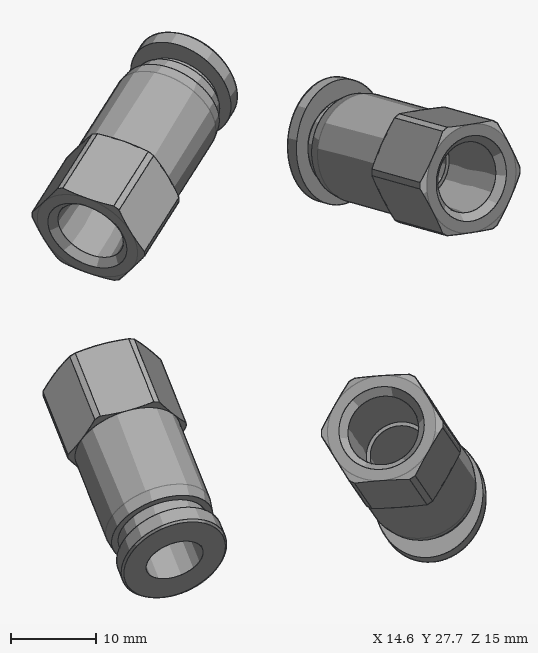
import cadquery as cq
import math

LENGTH = 27.7

ACROSS_FLATS = 13.02
CORNER_DIAMETER = 14.6
HEX_LENGTH = 10.0
HEX_CHAMFER = 0.25

SLEEVE_RADIUS = ACROSS_FLATS / 2
TAPER_TIP_RADIUS = 6.25
COLLAR_RADIUS = 5.45
NECK_RADIUS = 4.85
TAPER_START = 21.52
TAPER_END = 23.02
COLLAR_END = 24.82

BUTTON_WIDTH = ACROSS_FLATS
BUTTON_HEIGHT = 15.0
BUTTON_THICKNESS = 2.02
BUTTON_CHAMFER = 0.25
BUTTON_START = LENGTH - BUTTON_THICKNESS

MOUTH_RADIUS = 5.12
SOCKET_RADIUS = 4.25
SOCKET_END_RADIUS = 4.0
MOUTH_DEPTH = 0.9
SOCKET_DEPTH = 9.75
BORE_RADIUS = 3.52


def revolve_about_y(profile):
    """Solid of revolution from (radius, y) points, closed along the Y axis."""
    return cq.Workplane("XY").polyline(profile).close().revolve(360, (0, 0, 0), (0, 1, 0))


def plane_at(y):
    """XZ plane at the given Y, with its normal toward +Y."""
    return cq.Workplane(cq.Plane(origin=(0, y, 0), xDir=(1, 0, 0), normal=(0, 1, 0)))


def make_hexagon():
    """Hexagon with two of its rounded corners on the X axis and both ends chamfered down to the flats."""
    across_corners = ACROSS_FLATS / math.cos(math.pi / 6)
    prism = plane_at(0).polygon(6, across_corners).extrude(HEX_LENGTH)
    flat_radius = ACROSS_FLATS / 2
    corner_radius = CORNER_DIAMETER / 2
    envelope = revolve_about_y([
        (0, 0),
        (flat_radius, 0),
        (corner_radius, HEX_CHAMFER),
        (corner_radius, HEX_LENGTH - HEX_CHAMFER),
        (flat_radius, HEX_LENGTH),
        (0, HEX_LENGTH),
    ])
    return prism.intersect(envelope)


def make_sleeve():
    """Round sleeve with a tapered tip, followed by the collar and the neck."""
    return revolve_about_y([
        (0, HEX_LENGTH),
        (SLEEVE_RADIUS, HEX_LENGTH),
        (SLEEVE_RADIUS, TAPER_START),
        (TAPER_TIP_RADIUS, TAPER_END),
        (COLLAR_RADIUS, TAPER_END),
        (COLLAR_RADIUS, COLLAR_END),
        (NECK_RADIUS, COLLAR_END),
        (NECK_RADIUS, BUTTON_START),
        (0, BUTTON_START),
    ])


def make_button():
    """Elliptical disc, taller along Z, with its outer rim chamfered."""
    disc = plane_at(BUTTON_START).ellipse(BUTTON_WIDTH / 2, BUTTON_HEIGHT / 2).extrude(BUTTON_THICKNESS)
    return disc.faces(">Y").edges().chamfer(BUTTON_CHAMFER)


def make_bore():
    """Countersunk, slightly tapered socket that steps down to the through bore."""
    return revolve_about_y([
        (0, 0),
        (MOUTH_RADIUS, 0),
        (SOCKET_RADIUS, MOUTH_DEPTH),
        (SOCKET_END_RADIUS, SOCKET_DEPTH),
        (BORE_RADIUS, SOCKET_DEPTH),
        (BORE_RADIUS, LENGTH),
        (0, LENGTH),
    ])


result = make_hexagon().union(make_sleeve()).union(make_button()).cut(make_bore())